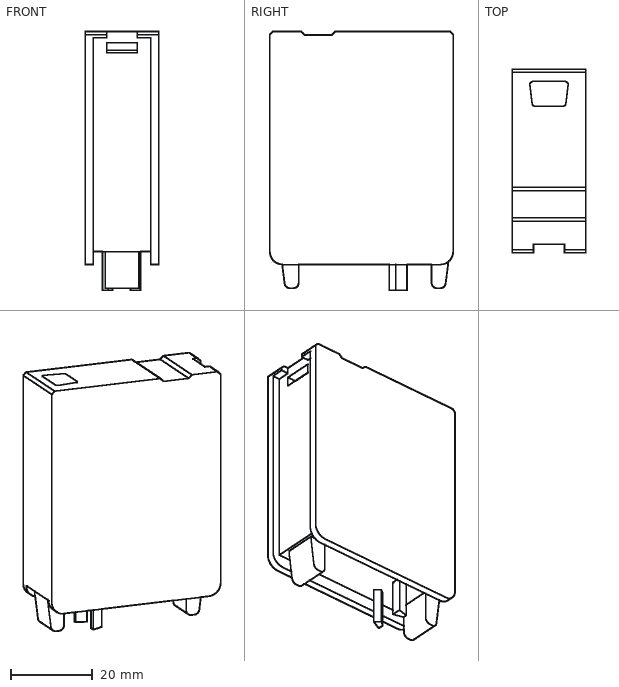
import cadquery as cq

width = 18.0
depth = 45.0
height = 63.45
front_y = -depth / 2
back_y = depth / 2
housing_bottom = 6.35
bottom_corner_radius = 3.2
top_chamfer = 0.75

channel_width = 14.1
floor_z = housing_bottom + bottom_corner_radius
recess_depth = 2.0
lip_height = 1.6
recess_top = height - lip_height
core_front_y = front_y + recess_depth

groove_front_y = -14.8
groove_back_y = -6.5
groove_depth = 0.8

latch_width = 7.55
slot_top = 60.65
slot_bottom = 58.2
slot_rise = 0.7
slot_depth = 2.55

window_back_y = 19.5
window_front_y = 13.4
window_back_width = 9.6
window_front_width = 8.1
window_depth = 5.5
window_corner_radius = 0.75

contact_width = 8.25
contact_bottom = 0.5
contact_root_width = 4.4
contact_tip_width = 3.35
contact_taper_top = 8.45
contact_tip_radius = 1.4
front_contact_inner_y = -15.35
back_contact_inner_y = 17.1

taper_pin_center_x = 3.3
taper_pin_front_width = 2.5
taper_pin_back_width = 0.95
taper_pin_front_y = 8.4
taper_pin_back_y = 11.15
slanted_pin_points = [(-4.8, 9.65), (-3.4, 6.8), (-2.3, 8.4), (-3.25, 9.65)]


def box(x_min, x_max, y_min, y_max, z_min, z_max):
    """Axis-aligned box between the given limits."""
    size = (x_max - x_min, y_max - y_min, z_max - z_min)
    return cq.Workplane("XY").box(*size, centered=False).translate((x_min, y_min, z_min))


def side_prism(points, total_width):
    """Extrude a closed (Y, Z) outline symmetrically along X."""
    return cq.Workplane("YZ").polyline(points).close().extrude(total_width / 2, both=True)


def make_window():
    outline = [
        (-window_back_width / 2, window_back_y),
        (window_back_width / 2, window_back_y),
        (window_front_width / 2, window_front_y),
        (-window_front_width / 2, window_front_y),
    ]
    pocket = cq.Workplane("XY").workplane(offset=height - window_depth)
    pocket = pocket.polyline(outline).close().extrude(window_depth)
    return pocket.edges("|Z").fillet(window_corner_radius)


def make_housing():
    body = box(-width / 2, width / 2, front_y, back_y, housing_bottom, height)
    body = body.edges("|X and <Z").fillet(bottom_corner_radius)
    body = body.edges("|X and >Z").chamfer(top_chamfer)

    half_channel = channel_width / 2
    underside = box(-half_channel, half_channel, front_y, back_y, housing_bottom, floor_z)
    front_recess = box(-half_channel, half_channel, front_y, core_front_y, housing_bottom, recess_top)
    half_latch = latch_width / 2
    notch = box(-half_latch, half_latch, front_y, core_front_y, recess_top, height)

    groove_floor = height - groove_depth
    groove = side_prism([
        (groove_front_y, height),
        (groove_front_y + groove_depth, groove_floor),
        (groove_back_y - groove_depth, groove_floor),
        (groove_back_y, height),
    ], width)

    slot_back_y = core_front_y + slot_depth
    slot = side_prism([
        (core_front_y, slot_bottom),
        (slot_back_y, slot_bottom + slot_rise),
        (slot_back_y, slot_top),
        (core_front_y, slot_top),
    ], latch_width)

    for cutter in (underside, front_recess, notch, groove, slot, make_window()):
        body = body.cut(cutter)
    return body


def make_contact(inner_y, outward):
    """Contact blade below the housing floor; outward is the Y sign of its tapered edge."""
    root_y = inner_y + outward * contact_root_width
    tip_y = inner_y + outward * contact_tip_width
    blade = side_prism([
        (inner_y, floor_z),
        (root_y, floor_z),
        (root_y, contact_taper_top),
        (tip_y, contact_bottom),
        (inner_y, contact_bottom),
    ], contact_width)
    return blade.faces("<Z").edges("|X").fillet(contact_tip_radius)


def make_taper_pin():
    half_front = taper_pin_front_width / 2
    half_back = taper_pin_back_width / 2
    outline = [
        (taper_pin_center_x - half_front, taper_pin_front_y),
        (taper_pin_center_x + half_front, taper_pin_front_y),
        (taper_pin_center_x + half_back, taper_pin_back_y),
        (taper_pin_center_x - half_back, taper_pin_back_y),
    ]
    return cq.Workplane("XY").polyline(outline).close().extrude(floor_z)


def make_slanted_pin():
    return cq.Workplane("XY").polyline(slanted_pin_points).close().extrude(floor_z)


housing = make_housing()
contact_places = [(front_contact_inner_y, -1), (back_contact_inner_y, 1)]
contacts = [make_contact(inner_y, outward).val() for inner_y, outward in contact_places]
taper_pin = make_taper_pin()
slanted_pin = make_slanted_pin()

result = cq.Compound.makeCompound([housing.val(), *contacts, taper_pin.val(), slanted_pin.val()])